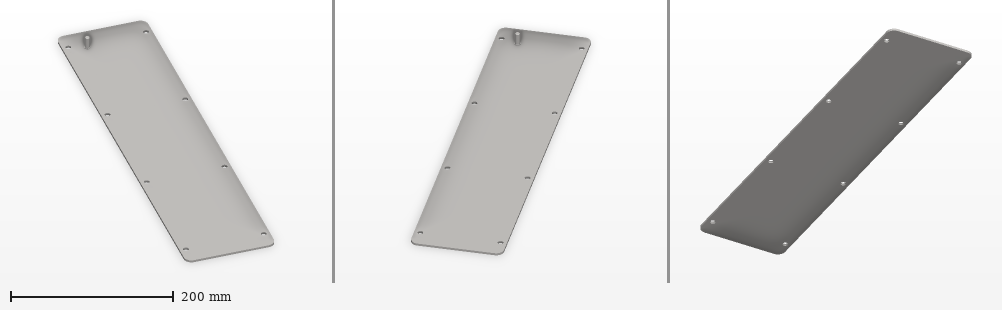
import cadquery as cq

plate_length = 498.0
plate_width = 117.0
plate_thickness = 3.0
corner_radius = 10.0

hole_diameter = 7.0
holes_per_row = 4
end_hole_inset = 25.0
row_inset = 8.0
hole_pitch = (plate_length - 2 * end_hole_inset) / (holes_per_row - 1)
row_count = 2
row_spacing = plate_width - 2 * row_inset

total_height = 19.0
stud_diameter = 6.0
stud_tip_chamfer = 0.75
flange_diameter = 7.5
flange_thickness = 1.0
stud_from_left_edge = 33.0
stud_from_front_edge = 30.0
stud_x = stud_from_left_edge - plate_length / 2
stud_y = stud_from_front_edge - plate_width / 2


def make_plate():
    """Rounded rectangular plate with its two rows of holes."""
    return (
        cq.Workplane("XY")
        .rect(plate_length, plate_width)
        .extrude(plate_thickness)
        .edges("|Z")
        .fillet(corner_radius)
        .faces(">Z")
        .workplane()
        .rarray(hole_pitch, row_spacing, holes_per_row, row_count)
        .hole(hole_diameter)
    )


def make_stud():
    """Round stud with a chamfered tip and a thin base flange, sunk to the plate underside."""
    shank = (
        cq.Workplane("XY")
        .center(stud_x, stud_y)
        .circle(stud_diameter / 2)
        .extrude(total_height)
        .faces(">Z")
        .chamfer(stud_tip_chamfer)
    )
    flange = (
        cq.Workplane("XY")
        .center(stud_x, stud_y)
        .circle(flange_diameter / 2)
        .extrude(plate_thickness + flange_thickness)
    )
    return shank.union(flange)


result = make_plate().union(make_stud()).clean()